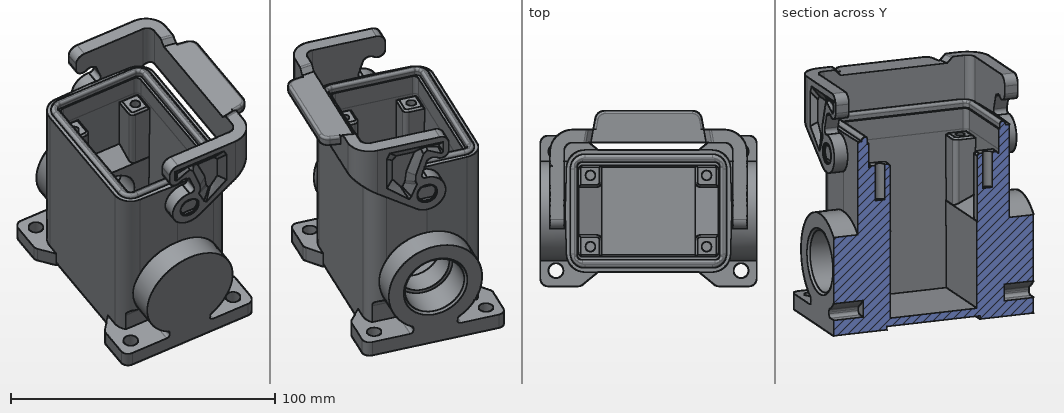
import cadquery as cq
import math

TOTAL_HEIGHT = 92.4
BASE_LENGTH_X = 82.0
BASE_HALF_X = BASE_LENGTH_X / 2
BASE_HALF_Y = 28.55

PICK_MARGIN = 0.1

BODY_HALF_Y = 23.1
BODY_CORNER_HALF_X = 30.9
BODY_RIDGE_HALF_X = 31.5
BODY_CORNER_R = 7.0
BODY_BOTTOM_Z = 1.3
BODY_TOP_Z = 75.5
LIP_HEIGHT = 1.6
LIP_TOP_Z = BODY_TOP_Z + LIP_HEIGHT
LIP_SETBACK = 1.6
LIP_HALF_X = 29.6
LIP_ROUND = 1.4
MOUTH_ROUND = 1.1
LIP_CORNER_R = BODY_CORNER_R - LIP_SETBACK

MOUTH_HALF_X = 27.0
MOUTH_HALF_Y = 18.5
NECK_HALF_X = 26.5
NECK_HALF_Y = 17.4
NECK_TOP_Z = 74.2
NECK_BOTTOM_Z = 66.25
CAVITY_HALF_X = 26.0
CAVITY_HALF_Y = 16.6
CAVITY_CORNER_R = 1.85
FLOOR_Z = 4.6
FLOOR_HALF_X = 17.65
SHELF_LOW_Z = 38.8
SHELF_RISE = 3.8
POST_TOP_Z = 65.4
POST_INNER_X = 17.7
POST_INNER_Y = 9.1
POST_EDGE_R = 1.85
POST_CHAMFER = 0.8
POST_HOLE_X = 22.0
POST_HOLE_Y = 13.5
POST_HOLE_DIA = 3.7
POST_HOLE_DEPTH = 13.9

FOOT_HEIGHT = 6.3
FOOT_CORNER_R = 3.05
FOOT_FLANK_X = 25.7
FOOT_TIP_X = 19.0
FOOT_FLANK_R = 2.8
FOOT_HOLE_DIA = 5.5
FOOT_HOLE_X = 35.0
FOOT_HOLE_Y = 22.5

CLEARANCE_X = 28.9
CLEARANCE_TOP_Z = 16.8
CLEARANCE_R = 2.8

ENTRY_Z = 25.8
ENTRY_R = 18.85
ENTRY_BORE_R = 11.9
ENTRY_CHAMFER = 0.9
ENTRY_HOLE_R = 10.5
ENTRY_WALL_X = 27.4
ENTRY_ROOT_X = 28.0
WEB_HALF_Y = 8.9
WEB_FILLET_R = 1.4

ARM_OUTER_X = 37.3
ARM_INNER_X = 31.9
LEVER_BACK_Y = 30.9
LEVER_BAR_INNER_Y = 25.9
LEVER_OUTER_R = 8.8
LEVER_INNER_R = 3.1
LEVER_BACK_BOTTOM_Z = 78.3
PIVOT_Y = 2.0
PIVOT_Z = 67.4
PIVOT_R = 7.5
PIN_R = 3.7
PIN_ROOT_X = 28.9
PIN_CHAMFER = 0.4
PIN_FLAT_HALF = 2.7
PIN_RECESS_DEPTH = 0.9
HOOK_TIP_Y = -6.7
HOOK_TOP_R = 3.7
HOOK_TIP_BOTTOM_Z = 85.6
ARM_SLOPE = 34.5
HOOK_LOBE_MIDDLE = (-5.0, 82.8)
HOOK_LOBE_END = (-2.3, 82.9)
HOOK_THROAT_MIDDLE = (0.2, 83.6)
HOOK_THROAT_END = (2.1, 82.4)
HOOK_STEM_END = (4.1, 76.8)
PIVOT_BLEND_MIDDLE = (3.9, 75.4)
POCKET_DEPTH = 1.85
HOOK_GROOVE_DEPTH = 0.9

WINDOW_OUTER = [
    (17.1, 89.8), (18.3, 87.3), (18.3, 73.8), (9.3, 66.4), (8.4, 67.45),
    (6.1, 72.7), (6.7, 74.2), (6.6, 77.1), (2.3, 89.8),
]
WINDOW_FLOOR = [
    (13.9, 86.6), (15.3, 84.9), (15.3, 76.0), (12.2, 72.0), (11.5, 71.6),
    (10.5, 73.2), (10.3, 74.2), (9.8, 78.4), (6.6, 86.6),
]
GROOVE_OUTER = [(4.6, 89.8), (3.5, 86.1), (2.0, 87.5), (-3.7, 84.6), (-4.5, 85.3), (-4.5, 89.8)]
GROOVE_FLOOR = [(4.6, 88.5), (4.25, 88.15), (1.85, 88.5), (-2.8, 87.3), (-3.2, 87.4), (-3.2, 88.6)]

TAB_TOP_Z = 90.1
TAB_BOTTOM_Z = 86.0
TAB_END_Y = 38.0
TAB_ROOT_HALF_X = 21.8
TAB_END_HALF_X = 19.7
TAB_CORNER_R = 3.7
TAB_EDGE_R = 1.0
NOTCH_SLOPE_X = 2.3
NOTCH_ROUND = 1.1


def box_between(x_range, y_range, z_range):
    """Box spanning the given (low, high) ranges."""
    size = [high - low for low, high in (x_range, y_range, z_range)]
    low_corner = (x_range[0], y_range[0], z_range[0])
    return cq.Workplane("XY").box(*size, centered=False).translate(low_corner)


def both_sides(right_side):
    """Add the mirror image of a +X feature."""
    return right_side.union(right_side.mirror("YZ"))


def make_body():
    """Box with ridged side walls and a rounded lip around its open top."""
    outline = [
        (-BODY_CORNER_HALF_X, -BODY_HALF_Y),
        (BODY_CORNER_HALF_X, -BODY_HALF_Y),
        (BODY_RIDGE_HALF_X, 0),
        (BODY_CORNER_HALF_X, BODY_HALF_Y),
        (-BODY_CORNER_HALF_X, BODY_HALF_Y),
        (-BODY_RIDGE_HALF_X, 0),
    ]
    body = cq.Workplane("XY", origin=(0, 0, BODY_BOTTOM_Z)).polyline(outline).close()
    body = body.extrude(BODY_TOP_Z - BODY_BOTTOM_Z)
    for side in ("<Y", ">Y"):
        body = body.edges("|Z").edges(side).fillet(BODY_CORNER_R)
    lip = (
        cq.Workplane("XY", origin=(0, 0, BODY_TOP_Z))
        .rect(2 * LIP_HALF_X, 2 * (BODY_HALF_Y - LIP_SETBACK))
        .extrude(LIP_HEIGHT)
        .edges("|Z").fillet(LIP_CORNER_R)
        .faces(">Z").edges().fillet(LIP_ROUND)
    )
    return body.union(lip)


def make_side_clearance():
    cutter = (
        box_between((CLEARANCE_X, BASE_HALF_X), (-BASE_HALF_Y, BASE_HALF_Y), (0, CLEARANCE_TOP_Z))
        .edges("<X and >Z").fillet(CLEARANCE_R)
    )
    return both_sides(cutter)


def make_foot():
    outline = [
        (FOOT_TIP_X, -BODY_HALF_Y),
        (FOOT_FLANK_X, -BASE_HALF_Y),
        (BASE_HALF_X, -BASE_HALF_Y),
        (BASE_HALF_X, BASE_HALF_Y),
        (FOOT_FLANK_X, BASE_HALF_Y),
        (FOOT_TIP_X, BODY_HALF_Y),
    ]
    foot = cq.Workplane("XY").polyline(outline).close().extrude(FOOT_HEIGHT)
    foot = foot.edges("|Z and >X").fillet(FOOT_CORNER_R)
    for side in ("<Y", ">Y"):
        foot = foot.faces(side).edges("|Z and <X").fillet(FOOT_FLANK_R)
    return foot


def make_entry():
    """Foot with the cable entry boss standing on it."""
    boss = cq.Workplane("YZ", origin=(ENTRY_ROOT_X, 0, 0)).center(0, ENTRY_Z).circle(ENTRY_R)
    boss = boss.extrude(BASE_HALF_X - ENTRY_ROOT_X)
    web = box_between((ENTRY_ROOT_X, BASE_HALF_X), (-WEB_HALF_Y, WEB_HALF_Y), (0, ENTRY_Z))
    stand_z = ENTRY_Z - math.sqrt(ENTRY_R ** 2 - WEB_HALF_Y ** 2)
    base = box_between((ENTRY_ROOT_X, BASE_HALF_X), (-BASE_HALF_Y, BASE_HALF_Y), (0, FOOT_HEIGHT))
    upright = boss.union(web).union(base)
    notch_box = cq.selectors.BoxSelector(
        (0, -WEB_HALF_Y - PICK_MARGIN, FOOT_HEIGHT - PICK_MARGIN),
        (BASE_HALF_X + PICK_MARGIN, WEB_HALF_Y + PICK_MARGIN, stand_z + PICK_MARGIN),
    )
    upright = upright.edges("|X").edges(notch_box).fillet(WEB_FILLET_R)
    upright = upright.cut(base)
    return both_sides(upright.union(make_foot()))


def make_entry_bore():
    """Stepped opening through the -X entry boss only."""
    depth = BASE_HALF_X - ENTRY_WALL_X
    outer_face = cq.Workplane("YZ", origin=(-BASE_HALF_X, 0, ENTRY_Z))
    bore = outer_face.circle(ENTRY_BORE_R).extrude(depth)
    mouth = cq.Workplane("XY").add(cq.Solid.makeCone(
        ENTRY_BORE_R + ENTRY_CHAMFER, ENTRY_BORE_R, ENTRY_CHAMFER,
        pnt=cq.Vector(-BASE_HALF_X, 0, ENTRY_Z), dir=cq.Vector(1, 0, 0),
    ))
    hole = outer_face.circle(ENTRY_HOLE_R).extrude(BASE_HALF_X - FLOOR_HALF_X)
    return bore.union(mouth).union(hole)


def make_foot_holes():
    return (
        cq.Workplane("XY")
        .rect(2 * FOOT_HOLE_X, 2 * FOOT_HOLE_Y, forConstruction=True)
        .vertices().circle(FOOT_HOLE_DIA / 2).extrude(FOOT_HEIGHT)
    )


def cavity_section(half_x, half_y):
    return cq.Sketch().rect(2 * half_x, 2 * half_y).vertices().fillet(CAVITY_CORNER_R)


def make_cavity():
    """Cavity with a wide mouth, a straight neck and a chamber that narrows slightly to the floor."""
    neck_section = cavity_section(NECK_HALF_X, NECK_HALF_Y)
    floor_section = cavity_section(CAVITY_HALF_X, CAVITY_HALF_Y)
    mouth = (
        cq.Workplane("XY", origin=(0, 0, NECK_TOP_Z))
        .placeSketch(cavity_section(MOUTH_HALF_X, MOUTH_HALF_Y)).extrude(LIP_TOP_Z - NECK_TOP_Z)
    )
    neck = (
        cq.Workplane("XY", origin=(0, 0, NECK_BOTTOM_Z))
        .placeSketch(neck_section).extrude(NECK_TOP_Z - NECK_BOTTOM_Z)
    )
    chamber_rise = cq.Location(cq.Vector(0, 0, NECK_BOTTOM_Z - FLOOR_Z))
    chamber = (
        cq.Workplane("XY", origin=(0, 0, FLOOR_Z))
        .placeSketch(floor_section, neck_section.moved(chamber_rise)).loft()
    )
    return mouth.union(neck).union(chamber).cut(make_shelves()).cut(make_posts())


def make_shelves():
    """Thick lower end walls of the cavity, each with a top that slopes down toward the middle."""
    shelf = (
        cq.Workplane("XZ", origin=(0, BODY_HALF_Y, 0))
        .polyline([
            (FLOOR_HALF_X, FLOOR_Z),
            (NECK_HALF_X, FLOOR_Z),
            (NECK_HALF_X, SHELF_LOW_Z + SHELF_RISE),
            (FLOOR_HALF_X, SHELF_LOW_Z),
        ]).close().extrude(2 * BODY_HALF_Y)
    )
    return both_sides(shelf)


def make_posts():
    """Four screw posts standing in the cavity corners."""
    post = box_between(
        (POST_INNER_X, NECK_HALF_X), (POST_INNER_Y, NECK_HALF_Y), (FLOOR_Z, POST_TOP_Z)
    )
    post = post.edges("|Z and <X and <Y").fillet(POST_EDGE_R)
    post = post.faces(">Z").edges().chamfer(POST_CHAMFER)
    hole = (
        cq.Workplane("XY", origin=(POST_HOLE_X, POST_HOLE_Y, POST_TOP_Z))
        .circle(POST_HOLE_DIA / 2).extrude(-POST_HOLE_DEPTH)
    )
    pair = both_sides(post.cut(hole))
    return pair.union(pair.mirror("XZ"))


def pivot_rim_point(angle):
    """Point on the pivot end of the arm, with the angle in degrees from +Y toward +Z."""
    turn = math.radians(angle)
    return (PIVOT_Y + PIVOT_R * math.cos(turn), PIVOT_Z + PIVOT_R * math.sin(turn))


def make_lever_profile():
    """Side outline of the lever: back bar, hook and round pivot end."""
    return (
        cq.Workplane("YZ", origin=(-ARM_OUTER_X, 0, 0))
        .moveTo(LEVER_BACK_Y, LEVER_BACK_BOTTOM_Z)
        .lineTo(LEVER_BACK_Y, TOTAL_HEIGHT)
        .lineTo(HOOK_TIP_Y + HOOK_TOP_R, TOTAL_HEIGHT)
        .radiusArc((HOOK_TIP_Y, TOTAL_HEIGHT - HOOK_TOP_R), -HOOK_TOP_R)
        .lineTo(HOOK_TIP_Y, HOOK_TIP_BOTTOM_Z)
        .threePointArc(HOOK_LOBE_MIDDLE, HOOK_LOBE_END)
        .threePointArc(HOOK_THROAT_MIDDLE, HOOK_THROAT_END)
        .lineTo(*HOOK_STEM_END)
        .threePointArc(PIVOT_BLEND_MIDDLE, pivot_rim_point(90))
        .threePointArc(pivot_rim_point(180), pivot_rim_point(270 + ARM_SLOPE))
        .close()
        .extrude(2 * ARM_OUTER_X)
    )


def make_lever_plan():
    """U-shaped plan of the lever, open toward -Y."""
    front_y = -BODY_HALF_Y
    outer = (
        box_between((-ARM_OUTER_X, ARM_OUTER_X), (front_y, LEVER_BACK_Y), (0, TOTAL_HEIGHT))
        .edges("|Z and >Y").fillet(LEVER_OUTER_R)
    )
    inner = (
        box_between((-ARM_INNER_X, ARM_INNER_X), (front_y, LEVER_BAR_INNER_Y), (0, TOTAL_HEIGHT))
        .edges("|Z and >Y").fillet(LEVER_INNER_R)
    )
    return outer.cut(inner)


def tapered_pocket(outer, floor, depth):
    """Pocket in the +X arm face with walls sloping from the outer outline to the floor."""
    return (
        cq.Workplane("YZ", origin=(ARM_OUTER_X, 0, 0)).polyline(outer).close()
        .workplane(offset=-depth).polyline(floor).close()
        .loft(ruled=True)
    )


def make_arm_pockets():
    window = tapered_pocket(WINDOW_OUTER, WINDOW_FLOOR, POCKET_DEPTH)
    groove = tapered_pocket(GROOVE_OUTER, GROOVE_FLOOR, HOOK_GROOVE_DEPTH)
    return both_sides(window.union(groove))


def make_pin_recess():
    """Chamfered round recess over the pivot pin, with sloping flats above and below."""
    mouth = cq.Workplane("XY").add(cq.Solid.makeCone(
        PIN_R + PIN_CHAMFER, PIN_R, PIN_CHAMFER,
        pnt=cq.Vector(ARM_OUTER_X, PIVOT_Y, PIVOT_Z), dir=cq.Vector(-1, 0, 0),
    ))
    arm_face = cq.Workplane("YZ", origin=(ARM_OUTER_X, PIVOT_Y, PIVOT_Z))
    well = arm_face.circle(PIN_R).extrude(-PIN_RECESS_DEPTH)
    wedge = (
        cq.Workplane("XZ", origin=(0, PIVOT_Y + PIN_R, PIVOT_Z))
        .polyline([
            (ARM_OUTER_X, PIN_R),
            (ARM_OUTER_X, -PIN_R),
            (ARM_OUTER_X - PIN_RECESS_DEPTH, -PIN_FLAT_HALF),
            (ARM_OUTER_X - PIN_RECESS_DEPTH, PIN_FLAT_HALF),
        ]).close().extrude(2 * PIN_R)
    )
    return both_sides(mouth.union(well.intersect(wedge)))


def tab_outline(widening=0.0):
    """Plan of the tab from the inner face of the bar to its free end."""
    return [
        (-TAB_ROOT_HALF_X - widening, LEVER_BAR_INNER_Y),
        (TAB_ROOT_HALF_X + widening, LEVER_BAR_INNER_Y),
        (TAB_END_HALF_X + widening, TAB_END_Y),
        (-TAB_END_HALF_X - widening, TAB_END_Y),
    ]


def make_tab():
    """Thumb tab, tapering in plan from the bar to its rounded free end."""
    tab = cq.Workplane("XY", origin=(0, 0, TAB_BOTTOM_Z)).polyline(tab_outline()).close()
    tab = tab.extrude(TAB_TOP_Z - TAB_BOTTOM_Z)
    tab = tab.edges("|Z and >Y").fillet(TAB_CORNER_R)
    rim = cq.selectors.BoxSelector(
        (-BASE_HALF_X, LEVER_BAR_INNER_Y + PICK_MARGIN, 0),
        (BASE_HALF_X, TAB_END_Y + PICK_MARGIN, TOTAL_HEIGHT),
    )
    return tab.faces("|Z").edges(rim).fillet(TAB_EDGE_R)


def make_bar_notch():
    """Lowered top of the back bar, level with the tab, with sloping ends that follow its taper."""
    return (
        cq.Workplane("XY", origin=(0, 0, TAB_TOP_Z)).polyline(tab_outline()).close()
        .workplane(offset=TOTAL_HEIGHT - TAB_TOP_Z).polyline(tab_outline(NOTCH_SLOPE_X)).close()
        .loft(ruled=True)
    )


def make_lever():
    lever = make_lever_profile().intersect(make_lever_plan())
    lever = lever.cut(make_bar_notch())
    notch_top = cq.selectors.BoxSelector(
        (-TAB_ROOT_HALF_X - NOTCH_SLOPE_X, LEVER_BAR_INNER_Y, TOTAL_HEIGHT - PICK_MARGIN),
        (TAB_ROOT_HALF_X + NOTCH_SLOPE_X, LEVER_BACK_Y, TOTAL_HEIGHT + PICK_MARGIN),
    )
    lever = lever.edges(notch_top).edges("not |X").fillet(NOTCH_ROUND)
    lever = lever.cut(make_arm_pockets()).cut(make_pin_recess())
    return lever.union(make_tab())


def make_pivot_pins():
    """Short pins joining the lever arms to the body walls."""
    pin = cq.Workplane("YZ", origin=(PIN_ROOT_X, PIVOT_Y, PIVOT_Z)).circle(PIN_R)
    return both_sides(pin.extrude(ARM_INNER_X - PIN_ROOT_X))


housing = make_body().cut(make_side_clearance()).union(make_entry())
housing = housing.cut(make_cavity()).cut(make_entry_bore()).cut(make_foot_holes())
lip_mouth = cq.selectors.BoxSelector(
    (-MOUTH_HALF_X - PICK_MARGIN, -MOUTH_HALF_Y - PICK_MARGIN, LIP_TOP_Z - PICK_MARGIN),
    (MOUTH_HALF_X + PICK_MARGIN, MOUTH_HALF_Y + PICK_MARGIN, LIP_TOP_Z + PICK_MARGIN),
    boundingbox=True,
)
housing = housing.edges(lip_mouth).fillet(MOUTH_ROUND)

result = housing.union(make_pivot_pins()).union(make_lever())